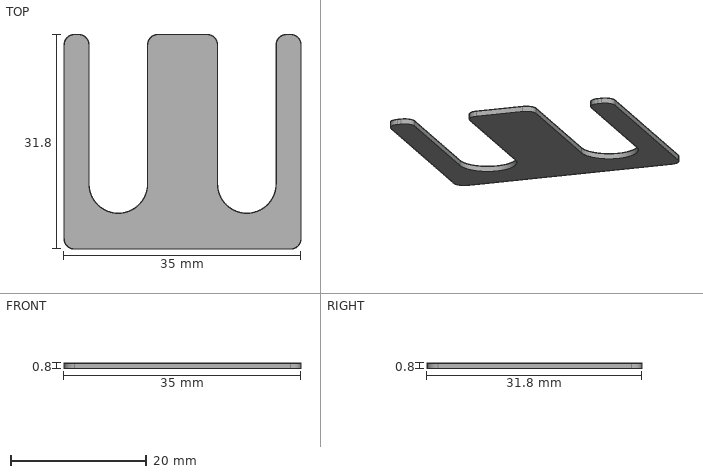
import cadquery as cq

width = 35.05
depth = 31.75
thickness = 0.8
corner_radius = 1.58

slot_width = 8.62
tongue_width = 10.37
slot_floor = 5.33

slot_radius = slot_width / 2
slot_offset = (tongue_width + slot_width) / 2
slot_arc_y = -depth / 2 + slot_floor + slot_radius


def slot_cutter(center_x):
    """Slot with a round inner end, open through the +Y edge."""
    left = center_x - slot_radius
    right = center_x + slot_radius
    return (
        cq.Workplane("XY")
        .moveTo(left, depth / 2)
        .lineTo(left, slot_arc_y)
        .threePointArc((center_x, slot_arc_y - slot_radius), (right, slot_arc_y))
        .lineTo(right, depth / 2)
        .close()
        .extrude(thickness)
    )


plate = cq.Workplane("XY").box(width, depth, thickness, centered=(True, True, False))
for side in (-1, 1):
    plate = plate.cut(slot_cutter(side * slot_offset))

result = plate.faces("<Y or >Y").edges("|Z").fillet(corner_radius)